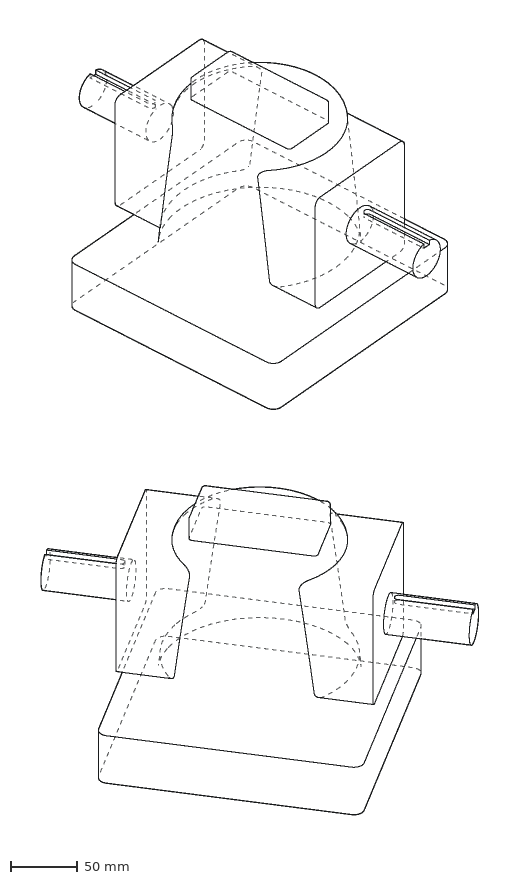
import cadquery as cq
import math

base_side = 206.3
base_height = 43.3
base_corner_radius = 8.0

drum_top = 176.5
drum_bottom_radius = 77.5
drum_draft = math.radians(5)
drum_fillet = 8.0

block_length = 199.5
block_side = 103.8
block_edge_radius = 6.0
axis_height = 116.8

shaft_length = 332.7
shaft_diameter = 32.0
keyway_width = 6.3
keyway_depth = 4.3
keyway_gap = 5.0

cap_length = 100.0
cap_width = 47.2
cap_top = 197.0
cap_edge_radius = 3.0


def make_base():
    plate = cq.Workplane("XY").rect(base_side, base_side).extrude(base_height)
    return plate.edges("|Z").fillet(base_corner_radius)


def make_drum():
    drum_height = drum_top - base_height
    top_radius = drum_bottom_radius - drum_height * math.tan(drum_draft)
    profile = (
        cq.Workplane("XZ")
        .moveTo(0, base_height)
        .lineTo(drum_bottom_radius, base_height)
        .lineTo(top_radius, drum_top)
        .lineTo(0, drum_top)
        .close()
    )
    drum = profile.revolve(360, (0, 0, 0), (0, 1, 0))
    return drum.faces(">Z").edges().fillet(drum_fillet)


def blend_drum_into_base(body):
    joint = cq.selectors.RadiusNthSelector(-1)
    return body.edges("%CIRCLE").edges(joint).fillet(drum_fillet)


def make_block():
    block = cq.Workplane("XY").box(block_length, block_side, block_side)
    return block.edges("|X").fillet(block_edge_radius).translate((0, 0, axis_height))


def make_keyway(side):
    """Slot open at the shaft end, rounded towards the block; side is -1 or +1 along X."""
    inner_end = block_length / 2 + keyway_gap
    outer_end = shaft_length / 2 + keyway_width
    shaft_top = axis_height + shaft_diameter / 2
    return (
        cq.Workplane("XY")
        .workplane(offset=shaft_top - keyway_depth)
        .center(side * (inner_end + outer_end) / 2, 0)
        .slot2D(outer_end - inner_end, keyway_width)
        .extrude(2 * keyway_depth)
    )


def make_shaft():
    section = cq.Workplane("YZ").center(0, axis_height).circle(shaft_diameter / 2)
    shaft = section.extrude(shaft_length / 2, both=True)
    for side in (-1, 1):
        shaft = shaft.cut(make_keyway(side))
    return shaft


def make_cap():
    cap = (
        cq.Workplane("XY")
        .workplane(offset=drum_top)
        .rect(cap_length, cap_width)
        .extrude(cap_top - drum_top)
    )
    return cap.edges("|Z or >Z").fillet(cap_edge_radius)


housing = blend_drum_into_base(make_base().union(make_drum()))
result = housing.union(make_block()).union(make_shaft()).union(make_cap())